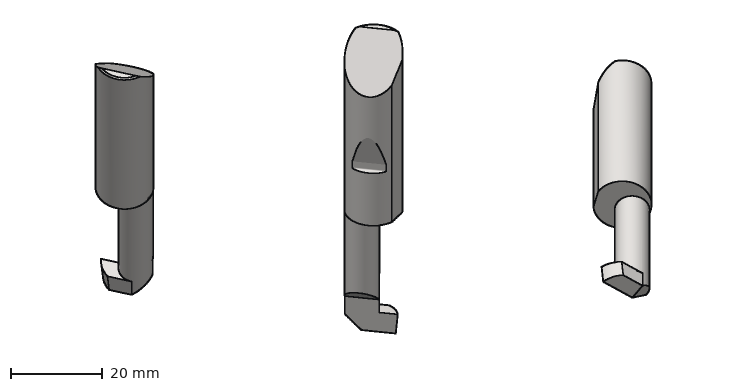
import cadquery as cq
import math

total_length = 76.2
shank_radius = 6.36
shank_bottom = 31.8
top_chamfer_width = 0.45
top_chamfer_height = 0.2
top_land = 1.9
flat_half_angle = 20.6

notch_bottom = 45.5
notch_depth = 1.2
notch_floor_length = 1.8
notch_length = 9.15
notch_fillet = 0.3

neck_radius = 3.8
neck_x = shank_radius - neck_radius
rake_face_y = 0.15
relief_top = 12.1
heel_width = 3.65
heel_height = 3.8

tooth_height_back = 5.1
tooth_height_front = 4.6
tooth_tip_x = -5.4
tooth_corner_x = -2.8
tooth_nose_radius = 6.85
tooth_taper = 5.0

cut_width = 4 * shank_radius


def prism_along_x(points, x_start, x_end):
    """Extrude a (Y, Z) outline from x_start to x_end."""
    return cq.Workplane("YZ", origin=(x_start, 0, 0)).polyline(points).close().extrude(x_end - x_start)


def across_part(points):
    """Extrude a (Y, Z) outline across the whole part."""
    return prism_along_x(points, -cut_width / 2, cut_width / 2)


def make_shank():
    shank = (
        cq.Workplane("XY", origin=(0, 0, shank_bottom))
        .circle(shank_radius)
        .extrude(total_length - shank_bottom)
        .faces(">Z")
        .chamfer(top_chamfer_height, top_chamfer_width)
    )

    flat_distance = shank_radius * math.cos(math.radians(flat_half_angle))
    flat_cutter = (
        cq.Workplane("XY")
        .box(cut_width, cut_width, total_length, centered=(False, True, False))
        .translate((flat_distance, 0, 0))
        .rotate((0, 0, 0), (0, 0, 1), 180 - flat_half_angle)
    )

    cut_start = top_land - shank_radius
    end_cutter = across_part([
        (cut_start, total_length),
        (cut_start + cut_width, total_length),
        (cut_start + cut_width, total_length - cut_width),
    ])

    floor_y = shank_radius - notch_depth
    notch_top = notch_bottom + notch_length
    notch_cutter = across_part([
        (shank_radius, notch_bottom),
        (floor_y, notch_bottom),
        (floor_y, notch_bottom + notch_floor_length),
        (shank_radius, notch_top),
    ]).edges("|X").edges("<Y").edges("<Z").fillet(notch_fillet)

    return shank.cut(flat_cutter).cut(end_cutter).cut(notch_cutter)


def make_neck():
    neck = cq.Workplane("XY").center(neck_x, 0).circle(neck_radius).extrude(shank_bottom)

    relief_cutter = across_part([
        (rake_face_y, 0),
        (rake_face_y, relief_top - neck_radius + rake_face_y),
        (neck_radius, relief_top),
        (neck_radius, 0),
    ])

    heel_cutter = (
        cq.Workplane("XZ")
        .polyline([
            (shank_radius - heel_width, 0),
            (shank_radius, 0),
            (shank_radius, heel_height),
        ])
        .close()
        .extrude(cut_width / 2, both=True)
    )
    return neck.cut(relief_cutter).cut(heel_cutter)


def make_tooth():
    back_x = shank_radius - heel_width

    lean = tooth_height_back * math.tan(math.radians(tooth_taper))

    def outline(plane, shift):
        """Tooth section, its convex nose moved by shift towards +X."""
        return (
            plane.moveTo(back_x, rake_face_y)
            .lineTo(tooth_tip_x + shift, rake_face_y)
            .radiusArc((tooth_corner_x + shift, -neck_radius), -tooth_nose_radius)
            .lineTo(back_x, -neck_radius)
            .close()
        )

    bottom = outline(cq.Workplane("XY"), lean)
    body = outline(bottom.workplane(offset=tooth_height_back), 0).loft(ruled=True)

    envelope = prism_along_x(
        [
            (rake_face_y, 0),
            (rake_face_y, tooth_height_back),
            (-neck_radius, tooth_height_front),
            (-neck_radius, 0),
        ],
        tooth_tip_x,
        back_x,
    )
    return body.intersect(envelope)


result = make_shank().union(make_neck()).union(make_tooth())